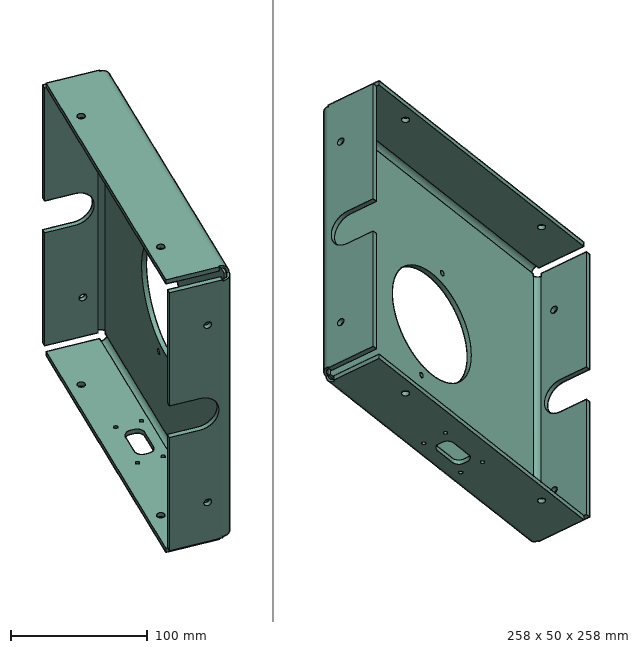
import cadquery as cq
import math

side = 258.0
depth = 50.0
bend_radius = 8.0
thickness = bend_radius / 2
bend_thickness = thickness / 2
inner_radius = bend_radius - bend_thickness
half = side / 2
flat_half = half - bend_radius
flange_corner_gap = 7.0
flange_length = side - 2 * flange_corner_gap
flange_depth = depth - bend_radius

opening_diameter = 94.0
panel_hole_diameter = 4.0
panel_hole_x = 12.5
panel_hole_z = 55.0

mount_diameter = 6.0
horizontal_mount_spacing = 162.0
horizontal_mount_center_x = 3.9
horizontal_mount_y = 10.3
side_mount_spacing = 167.7
side_mount_center_z = -1.3
side_mount_y = 30.2

notch_width = 30.0
notch_depth = 39.0

connector_x = 0.0
connector_y = 26.3
connector_length = 29.5
connector_width = 15.0
connector_corner_radius = 6.0
connector_screw_diameter = 3.0
connector_screw_pitch_x = 44.0
connector_screw_pitch_y = 20.0


def make_top_wall():
    """Bend and flange along the top edge; the front edge lies at Y = 0."""
    bend_start = flange_depth
    diagonal = math.sqrt(0.5)
    bend = (
        cq.Workplane("YZ")
        .moveTo(depth, flat_half)
        .threePointArc(
            (bend_start + bend_radius * diagonal, flat_half + bend_radius * diagonal),
            (bend_start, half),
        )
        .lineTo(bend_start, half - bend_thickness)
        .threePointArc(
            (bend_start + inner_radius * diagonal, flat_half + inner_radius * diagonal),
            (depth - bend_thickness, flat_half),
        )
        .close()
        .extrude(flat_half, both=True)
    )
    flange = cq.Workplane("XY").box(flange_length, flange_depth, thickness).translate(
        (0, flange_depth / 2, half - thickness / 2)
    )
    return bend.union(flange)


def drill_z(diameter, points, bottom, height):
    """Vertical cylinders at the given XY points."""
    return (
        cq.Workplane("XY").workplane(offset=bottom)
        .pushPoints(points).circle(diameter / 2).extrude(height)
    )


def make_back_panel():
    panel = cq.Workplane("XY").box(2 * flat_half, thickness, 2 * flat_half)
    panel = panel.translate((0, depth - thickness / 2, 0))
    holes = (
        cq.Workplane("XZ").circle(opening_diameter / 2).extrude(-depth)
        .union(
            cq.Workplane("XZ")
            .pushPoints([(panel_hole_x, panel_hole_z), (-panel_hole_x, -panel_hole_z)])
            .circle(panel_hole_diameter / 2)
            .extrude(-depth)
        )
    )
    return panel.cut(holes)


def make_side_cutter():
    """Mounting holes and notch, passing through both side flanges."""
    mount_points = [
        (side_mount_y, side_mount_center_z + end_sign * side_mount_spacing / 2)
        for end_sign in (-1, 1)
    ]
    holes = (
        cq.Workplane("YZ")
        .pushPoints(mount_points)
        .circle(mount_diameter / 2)
        .extrude(half, both=True)
    )
    notch_radius = notch_width / 2
    arc_start = notch_depth - notch_radius
    notch = (
        cq.Workplane("YZ")
        .moveTo(0, -notch_radius)
        .lineTo(arc_start, -notch_radius)
        .threePointArc((notch_depth, 0), (arc_start, notch_radius))
        .lineTo(0, notch_radius)
        .close()
        .extrude(half, both=True)
    )
    return holes.union(notch)


def make_connector_cutter():
    """Rounded window and its four screw holes, through the bottom flange."""
    window = (
        cq.Workplane("XY")
        .box(connector_length, connector_width, 2 * thickness)
        .edges("|Z").fillet(connector_corner_radius)
        .translate((connector_x, connector_y, -half))
    )
    screw_points = [
        (connector_x + sx * connector_screw_pitch_x / 2, connector_y + sy * connector_screw_pitch_y / 2)
        for sx in (-1, 1)
        for sy in (-1, 1)
    ]
    screws = drill_z(connector_screw_diameter, screw_points, -half, thickness)
    return window.union(screws)


tray = make_back_panel()
for quarter_turn in range(4):
    tray = tray.union(make_top_wall().rotate((0, 0, 0), (0, 1, 0), 90 * quarter_turn))

mount_points = [
    (horizontal_mount_center_x + side_sign * horizontal_mount_spacing / 2, horizontal_mount_y)
    for side_sign in (-1, 1)
]
tray = tray.cut(drill_z(mount_diameter, mount_points, -half, side))
tray = tray.cut(make_side_cutter())
result = tray.cut(make_connector_cutter())